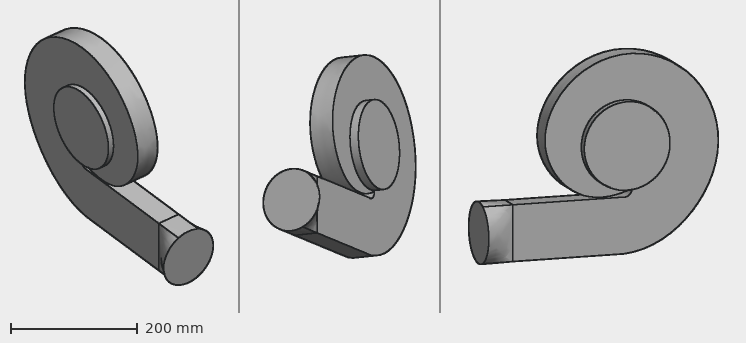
import cadquery as cq
import math


casing_width = 40.0
scroll_radii = [177.0, 161.5, 157.0, 152.0, 145.0, 137.5, 130.5, 106.3, 77.0]
scroll_start_angle = 270
scroll_step_angle = 45

tongue_tip = (-13.0, -71.8)
tongue_bulge = (-11.0, -79.2)
tongue_foot_x = -2.5

duct_end_x = 185.0
outlet_end_x = 235.3
outlet_diameter = 100.0
outlet_radius = outlet_diameter / 2
half_width = casing_width / 2
duct_half_height = math.sqrt(outlet_radius**2 - half_width**2)
duct_bottom_z = -scroll_radii[0]
duct_centre_z = duct_bottom_z + duct_half_height
duct_top_z = duct_centre_z + duct_half_height

front_plate_radius = 70.0
front_plate_thickness = 10.2
rear_plate_radius = 71.5
rear_plate_thickness = 15.0


def scroll_point(index):
    """Point on the scroll outline, as (X, Z)."""
    angle = math.radians(scroll_start_angle - index * scroll_step_angle)
    radius = scroll_radii[index]
    return (radius * math.cos(angle), radius * math.sin(angle))


def make_scroll_and_duct():
    """Scroll with its straight outlet duct, extruded across the casing width."""
    scroll_points = [scroll_point(index) for index in range(1, len(scroll_radii))]
    scroll_points.append(tongue_tip)
    return (
        cq.Workplane("XZ", origin=(0, half_width, 0))
        .moveTo(0, duct_bottom_z)
        .spline(scroll_points, includeCurrent=True)
        .threePointArc(tongue_bulge, (tongue_foot_x, duct_top_z))
        .lineTo(duct_end_x, duct_top_z)
        .lineTo(duct_end_x, duct_bottom_z)
        .close()
        .extrude(casing_width)
    )


def make_casing():
    """Scroll and duct with a round plate on each face."""
    front_plate = (
        cq.Workplane("XZ", origin=(0, -half_width, 0))
        .circle(front_plate_radius)
        .extrude(front_plate_thickness)
    )
    rear_plate = (
        cq.Workplane("XZ", origin=(0, half_width, 0))
        .circle(rear_plate_radius)
        .extrude(-rear_plate_thickness)
    )
    return make_scroll_and_duct().union(front_plate).union(rear_plate)


def make_outlet():
    """Transition from the rectangular duct to a round mouth, with straight rulings."""
    bottom = -duct_half_height
    top = duct_half_height
    return (
        cq.Workplane("YZ", origin=(duct_end_x, 0, duct_centre_z))
        .moveTo(-half_width, bottom)
        .lineTo(half_width, bottom)
        .lineTo(half_width, top)
        .lineTo(-half_width, top)
        .close()
        .workplane(offset=outlet_end_x - duct_end_x)
        .moveTo(-half_width, bottom)
        .threePointArc((0, -outlet_radius), (half_width, bottom))
        .threePointArc((outlet_radius, 0), (half_width, top))
        .threePointArc((0, outlet_radius), (-half_width, top))
        .threePointArc((-outlet_radius, 0), (-half_width, bottom))
        .close()
        .loft(ruled=True, combine=False)
    )


casing = make_casing()
outlet = make_outlet()

result = cq.Compound.makeCompound([casing.val(), outlet.val()])